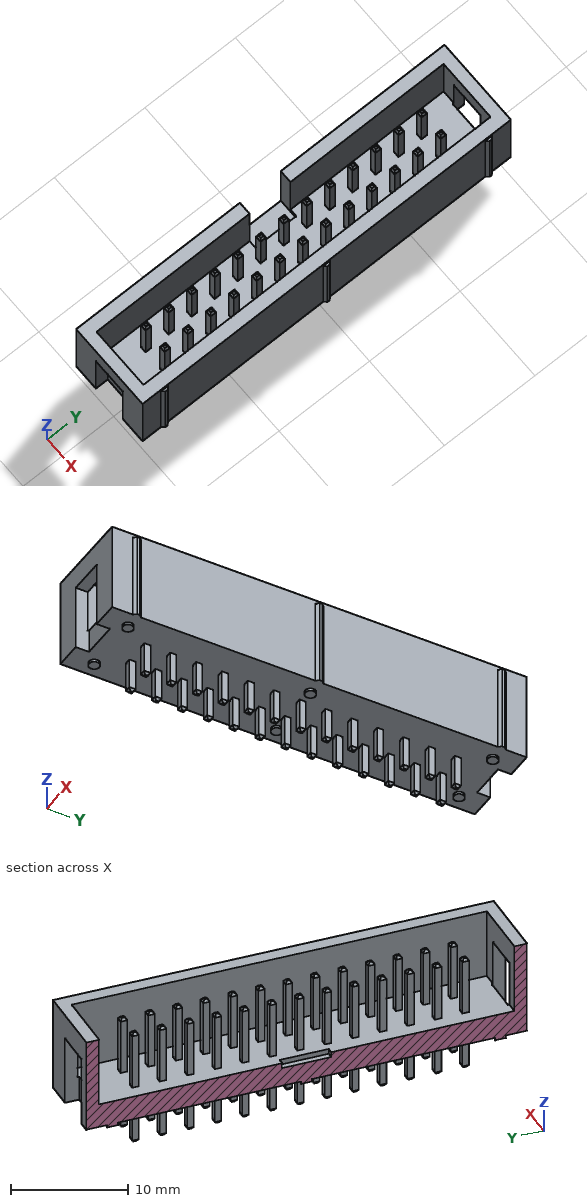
import cadquery as cq

length = 40.7
width = 8.85
height = 8.83
side_wall = 1.3
end_wall = 1.2
floor_thickness = 2.3

end_slot_width = 3.6
end_slot_top = 6.5
floor_setback = 0.12

notch_width = 4.5
notch_bottom = 1.85
notch_depth = 2.07

row_count = 13
pin_field_length = 30.45
pitch = pin_field_length / (row_count - 1)
pin_size = 0.6
pin_tip_size = 0.25
pin_tip_length = 0.25
pin_recess = 1.1
pin_top = height - pin_recess
pin_bottom = -3.25

station_spacing = 17.9
stations = [-station_spacing, 0, station_spacing]
rib_base_width = 0.8
rib_tip_width = 0.25
rib_projection = 0.25
rib_recess = 0.35
rib_top = height - rib_recess
foot_diameter = 1.0
foot_height = 0.25
foot_offset = 2.9

overlap = 0.1


def block(size_x, size_y, z_low, z_high):
    """Block centred in X and Y between two heights."""
    return (
        cq.Workplane("XY", origin=(0, 0, z_low))
        .rect(size_x, size_y)
        .extrude(z_high - z_low)
    )


def make_housing():
    housing = block(width, length, 0, height)
    cavity_length = length - 2 * end_wall
    cavity = block(width - 2 * side_wall, cavity_length, floor_thickness, height)
    housing = housing.cut(cavity)

    slot_length = end_wall + floor_setback
    slot = block(end_slot_width, slot_length, 0, end_slot_top)
    slot_offset = (length - slot_length) / 2
    for side in (-1, 1):
        housing = housing.cut(slot.translate((0, side * slot_offset, 0)))

    notch = block(notch_depth, notch_width, notch_bottom, height)
    return housing.cut(notch.translate(((notch_depth - width) / 2, 0, 0)))


def make_pin_tip(z_shoulder, direction):
    """Tapered square end of a pin, pointing up (1) or down (-1)."""
    return (
        cq.Workplane("XY", origin=(0, 0, z_shoulder))
        .rect(pin_size, pin_size)
        .workplane(offset=direction * pin_tip_length)
        .rect(pin_tip_size, pin_tip_size)
        .loft()
    )


def make_pin():
    upper_shoulder = pin_top - pin_tip_length
    lower_shoulder = pin_bottom + pin_tip_length
    shank = block(pin_size, pin_size, lower_shoulder, upper_shoulder)
    return shank.union(make_pin_tip(upper_shoulder, 1)).union(make_pin_tip(lower_shoulder, -1))


def make_rib():
    side_x = width / 2
    return (
        cq.Workplane("XY")
        .polyline([
            (side_x - overlap, -rib_base_width / 2),
            (side_x, -rib_base_width / 2),
            (side_x + rib_projection, -rib_tip_width / 2),
            (side_x + rib_projection, rib_tip_width / 2),
            (side_x, rib_base_width / 2),
            (side_x - overlap, rib_base_width / 2),
        ])
        .close()
        .extrude(rib_top)
    )


def make_foot():
    return (
        cq.Workplane("XY", origin=(0, 0, -foot_height))
        .circle(foot_diameter / 2)
        .extrude(foot_height + overlap)
    )


result = make_housing()

pin = make_pin()
for row in range(row_count):
    pin_y = row * pitch - pin_field_length / 2
    for side in (-1, 1):
        result = result.union(pin.translate((side * pitch / 2, pin_y, 0)))

rib = make_rib()
foot = make_foot()
for station in stations:
    result = result.union(rib.translate((0, station, 0)))
    for side in (-1, 1):
        result = result.union(foot.translate((side * foot_offset, station, 0)))